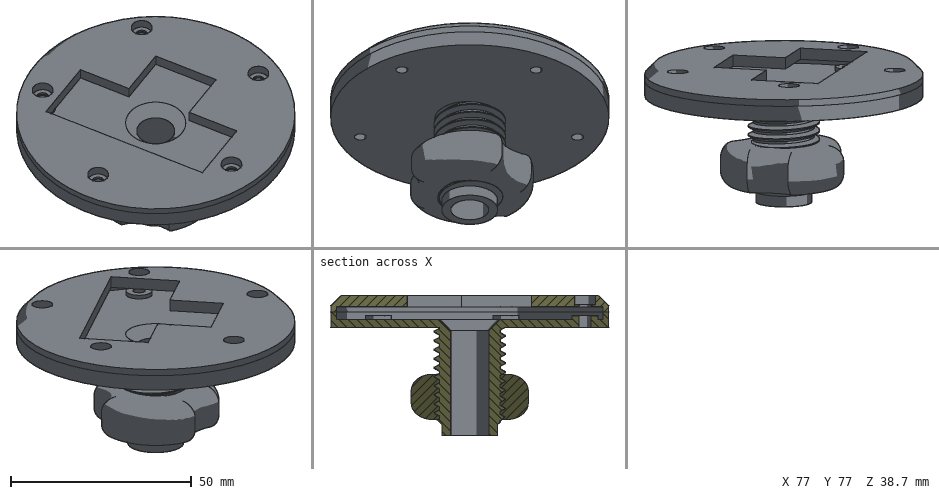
import cadquery as cq
import math

TOTAL_HEIGHT = 38.7
LID_THICKNESS = 3.15
LID_HEIGHT = 4.6
BASE_HEIGHT = 4.2
FLOOR_THICKNESS = 2.2
UNDERSIDE_Z = TOTAL_HEIGHT - LID_HEIGHT - BASE_HEIGHT
FLOOR_Z = UNDERSIDE_Z + FLOOR_THICKNESS
JOINT_Z = UNDERSIDE_Z + BASE_HEIGHT
CEILING_Z = TOTAL_HEIGHT - LID_THICKNESS

HOUSING_RADIUS = 38.5
CAVITY_RADIUS = 73.5 / 2
LID_CHAMFER = 2.8
LID_EDGE_ROUND = 0.5

BAR_LEFT = -25.2
BAR_RIGHT = 24.5
BAR_BOTTOM = -17.0
BAR_TOP = 2.2
LEG_LEFT = -9.8
LEG_RIGHT = 9.4
LEG_TOP = 17.25

SCREW_COUNT = 5
SCREW_RING_RADIUS = 31.6
SCREW_RING_CENTER = (-0.2, -0.3)
FIRST_SCREW_ANGLE = -90.0
SCREW_HOLE_DIAMETER = 3.2
SCREW_HEAD_DIAMETER = 5.7
SCREW_HEAD_DEPTH = 2.55
BOSS_DIAMETER = 7.2
BOSS_HEIGHT = 1.1

BORE_RADIUS = 10.5 / 2
COUNTERSINK_RADIUS = 8.3
TIP_RADIUS = 15.5 / 2
TIP_LENGTH = 3.0
THREAD_ROOT_RADIUS = 16.95 / 2
THREAD_CREST_RADIUS = 19.8 / 2
THREAD_PITCH = 10.0 / 4
CREST_WIDTH = THREAD_PITCH / 8
ROOT_WIDTH = THREAD_PITCH / 4
THREAD_EMBED = 0.2
THREAD_PHASE_Z = 0.6

NUT_BOTTOM_Z = 4.4
NUT_HEIGHT = 12.6
NUT_RADIUS = 17.55
NUT_EDGE_ROUND = 4.55
NOTCH_RADIUS = 12.0
NUT_NOTCHES = [(180.0, 27.0), (71.0, 26.2), (-71.0, 26.2)]


def cylinder(radius, bottom, top):
    return cq.Workplane("XY").workplane(offset=bottom).circle(radius).extrude(top - bottom)


def screw_cylinders(diameter, bottom, top):
    return (
        cq.Workplane("XY", origin=(*SCREW_RING_CENTER, bottom))
        .polarArray(SCREW_RING_RADIUS, FIRST_SCREW_ANGLE, 360, SCREW_COUNT)
        .circle(diameter / 2)
        .extrude(top - bottom)
    )


def make_lid():
    lid = cylinder(HOUSING_RADIUS, JOINT_Z, TOTAL_HEIGHT)
    lid = lid.faces(">Z").chamfer(LID_CHAMFER)
    lid = lid.faces(">Z").edges().fillet(LID_EDGE_ROUND)
    lid = lid.cut(cylinder(CAVITY_RADIUS, JOINT_Z, CEILING_Z))
    window = (
        cq.Workplane("XY", origin=(0, 0, CEILING_Z))
        .moveTo(BAR_LEFT, BAR_BOTTOM)
        .lineTo(BAR_RIGHT, BAR_BOTTOM)
        .lineTo(BAR_RIGHT, BAR_TOP)
        .lineTo(LEG_RIGHT, BAR_TOP)
        .lineTo(LEG_RIGHT, LEG_TOP)
        .lineTo(LEG_LEFT, LEG_TOP)
        .lineTo(LEG_LEFT, BAR_TOP)
        .lineTo(BAR_LEFT, BAR_TOP)
        .close()
        .extrude(LID_THICKNESS)
    )
    lid = lid.cut(window)
    lid = lid.cut(screw_cylinders(SCREW_HOLE_DIAMETER, CEILING_Z, TOTAL_HEIGHT))
    return lid.cut(screw_cylinders(SCREW_HEAD_DIAMETER, TOTAL_HEIGHT - SCREW_HEAD_DEPTH, TOTAL_HEIGHT))


def make_thread_ridge():
    """Trapezoidal right-hand ridge, closed by ruled faces between its four corner helices."""
    turns_height = UNDERSIDE_Z + THREAD_PITCH

    def corner_helix(radius, offset):
        helix = cq.Wire.makeHelix(THREAD_PITCH, turns_height, radius)
        return helix.translate(cq.Vector(0, 0, THREAD_PHASE_Z + offset))

    flank_slope = (THREAD_PITCH - CREST_WIDTH - ROOT_WIDTH) / 2 / (THREAD_CREST_RADIUS - THREAD_ROOT_RADIUS)
    foot_radius = THREAD_ROOT_RADIUS - THREAD_EMBED
    half_foot = (THREAD_PITCH - ROOT_WIDTH) / 2 + THREAD_EMBED * flank_slope
    half_crest = CREST_WIDTH / 2
    corners = [
        corner_helix(foot_radius, -half_foot),
        corner_helix(THREAD_CREST_RADIUS, -half_crest),
        corner_helix(THREAD_CREST_RADIUS, half_crest),
        corner_helix(foot_radius, half_foot),
    ]
    sides = []
    for i, corner in enumerate(corners):
        following = corners[(i + 1) % len(corners)]
        sides.extend(cq.Face.makeRuledSurface(corner, following).Faces())
    ends = []
    for place in (cq.Wire.startPoint, cq.Wire.endPoint):
        outline = cq.Wire.makePolygon([place(corner) for corner in corners], close=True)
        ends.append(cq.Face.makeFromWires(outline))
    return cq.Workplane(cq.Solid.makeSolid(cq.Shell.makeShell(sides + ends)))


def make_stem():
    """Threaded core, with the thread trimmed to a cone above the plain tip."""
    chamfer_top_z = TIP_LENGTH + THREAD_CREST_RADIUS - TIP_RADIUS
    envelope = (
        cq.Workplane("XZ")
        .lineTo(TIP_RADIUS, 0)
        .lineTo(TIP_RADIUS, TIP_LENGTH)
        .lineTo(THREAD_CREST_RADIUS, chamfer_top_z)
        .lineTo(THREAD_CREST_RADIUS, UNDERSIDE_Z)
        .lineTo(0, UNDERSIDE_Z)
        .close()
        .revolve(360, (0, 0), (0, 1))
    )
    core = cylinder(THREAD_ROOT_RADIUS, 0, UNDERSIDE_Z)
    return core.union(make_thread_ridge()).intersect(envelope)


def make_base(stem):
    base = cylinder(HOUSING_RADIUS, UNDERSIDE_Z, JOINT_Z)
    base = base.cut(cylinder(CAVITY_RADIUS, FLOOR_Z, JOINT_Z))
    base = base.union(screw_cylinders(BOSS_DIAMETER, FLOOR_Z, FLOOR_Z + BOSS_HEIGHT))
    base = base.cut(screw_cylinders(SCREW_HOLE_DIAMETER, UNDERSIDE_Z, JOINT_Z))
    base = base.union(stem)
    base = base.cut(cylinder(BORE_RADIUS, 0, FLOOR_Z))
    countersink_depth = COUNTERSINK_RADIUS - BORE_RADIUS
    countersink = cq.Solid.makeCone(
        BORE_RADIUS, COUNTERSINK_RADIUS, countersink_depth, cq.Vector(0, 0, FLOOR_Z - countersink_depth)
    )
    return base.cut(cq.Workplane(countersink))


def make_notch_cutter():
    """Round cutter that flares at both ends, so that a notch gets the same edge rounding as the nut."""
    top_z = NUT_BOTTOM_Z + NUT_HEIGHT
    flare_radius = NOTCH_RADIUS + NUT_EDGE_ROUND
    arc_inset = NUT_EDGE_ROUND * (1 - math.sqrt(0.5))
    return (
        cq.Workplane("XZ")
        .moveTo(0, NUT_BOTTOM_Z)
        .lineTo(flare_radius, NUT_BOTTOM_Z)
        .threePointArc(
            (NOTCH_RADIUS + arc_inset, NUT_BOTTOM_Z + arc_inset),
            (NOTCH_RADIUS, NUT_BOTTOM_Z + NUT_EDGE_ROUND),
        )
        .lineTo(NOTCH_RADIUS, top_z - NUT_EDGE_ROUND)
        .threePointArc(
            (NOTCH_RADIUS + arc_inset, top_z - arc_inset),
            (flare_radius, top_z),
        )
        .lineTo(0, top_z)
        .close()
        .revolve(360, (0, 0), (0, 1))
    )


def make_nut(stem):
    nut = cylinder(NUT_RADIUS, NUT_BOTTOM_Z, NUT_BOTTOM_Z + NUT_HEIGHT)
    nut = nut.edges("%CIRCLE").fillet(NUT_EDGE_ROUND)
    for direction, distance in NUT_NOTCHES:
        cutter = make_notch_cutter().translate((distance, 0, 0))
        nut = nut.cut(cutter.rotate((0, 0, 0), (0, 0, 1), direction))
    return nut.cut(stem)


stem = make_stem()
lid = make_lid()
base = make_base(stem)
nut = make_nut(stem)

result = cq.Compound.makeCompound([lid.solids().val(), base.solids().val(), nut.solids().val()])